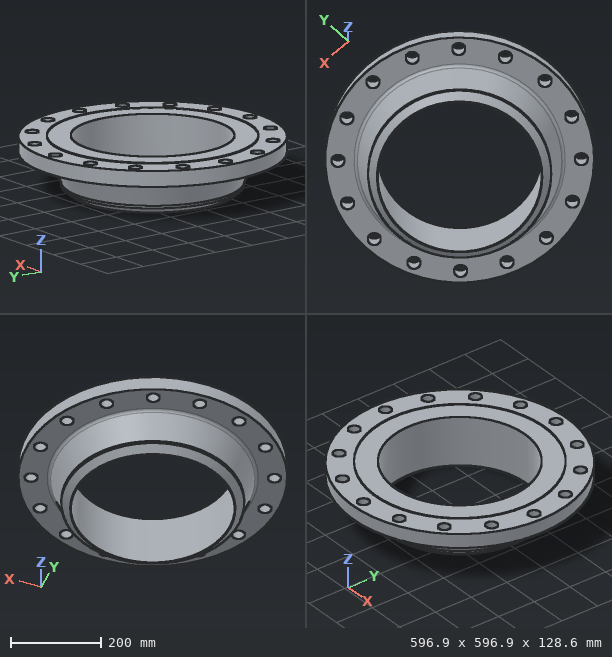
import cadquery as cq
import math


flange_diameter = 596.9
flange_thickness = 36.6
raised_face_diameter = 469.9
raised_face_height = 1.59

hub_base_diameter = 457.2
pipe_diameter = 406.4
bore_diameter = 363.5
overall_height = 128.59
land_height = 6.0
root_face_width = 1.6
bevel_angle = 37.5
hub_fillet_radius = 8.0

bolt_hole_count = 16
bolt_hole_diameter = 28.6
bolt_circle_diameter = 539.75

bore_radius = bore_diameter / 2
flange_radius = flange_diameter / 2
raised_face_radius = raised_face_diameter / 2
hub_base_radius = hub_base_diameter / 2
pipe_radius = pipe_diameter / 2
root_radius = bore_radius + root_face_width

flange_top_z = -raised_face_height
flange_bottom_z = flange_top_z - flange_thickness
weld_end_z = -overall_height
bevel_height = (pipe_radius - root_radius) * math.tan(math.radians(bevel_angle))
land_bottom_z = weld_end_z + bevel_height
land_top_z = land_bottom_z + land_height


def turned_body():
    """Flange, hub and bore as one half-profile revolved about Z."""
    profile = [
        (bore_radius, 0),
        (raised_face_radius, 0),
        (raised_face_radius, flange_top_z),
        (flange_radius, flange_top_z),
        (flange_radius, flange_bottom_z),
        (hub_base_radius, flange_bottom_z),
        (pipe_radius, land_top_z),
        (pipe_radius, land_bottom_z),
        (root_radius, weld_end_z),
        (bore_radius, weld_end_z),
    ]
    return (
        cq.Workplane("XZ")
        .polyline(profile)
        .close()
        .revolve(360, (0, 0, 0), (0, 1, 0))
    )


def fillet_hub_base(body):
    """Round the inside corner where the hub meets the underside of the flange."""
    margin = 1.0
    reach = hub_base_radius + margin
    hub_base_edge = cq.selectors.BoxSelector(
        (-reach, -reach, flange_bottom_z - margin),
        (reach, reach, flange_bottom_z + margin),
        boundingbox=True,
    )
    return body.edges(hub_base_edge).fillet(hub_fillet_radius)


def bolt_holes():
    """Cutters for the bolt holes, evenly spaced with one on the X axis."""
    return (
        cq.Workplane("XY", origin=(0, 0, flange_top_z))
        .polarArray(bolt_circle_diameter / 2, 0, 360, bolt_hole_count)
        .circle(bolt_hole_diameter / 2)
        .extrude(-flange_thickness)
    )


result = fillet_hub_base(turned_body()).cut(bolt_holes())